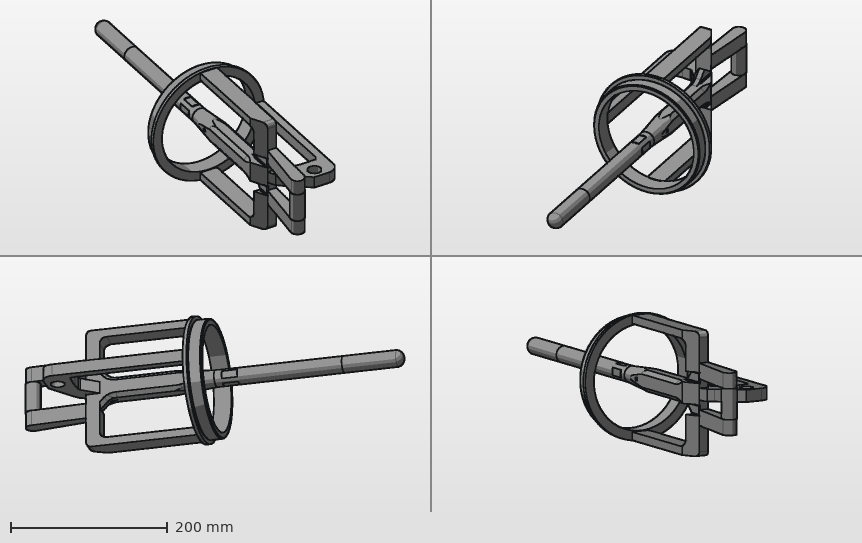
import cadquery as cq
import math

TIP_END = 80.0
FLATS_START = 218.5
FLATS_END = 239.0
ROD_END = 249.0
RING_START = 248.0
FLANGE_START = 266.0
RING_END = 271.0
CROSS_HOLE_X = 281.0
TENON_END = 288.0
CONE_END = 299.5
RUNOUT_START = 378.5
RUNOUT_END = 394.5
SLANT_START = 395.5
CROSSBAR_START = 400.0
FRAME_END = 418.0
GRIP_X = 491.0

ROD_DIAMETER = 22.0
ROD_RADIUS = ROD_DIAMETER / 2
TIP_DOME_HEIGHT = 9.0
ACROSS_FLATS = 19.5
TENON_DIAMETER = 12.0

RING_BORE = 139.0
RING_DIAMETER = 155.0
FLANGE_DIAMETER = 165.0
RING_CHAMFER = 1.5

FRAME_HALF_DEPTH = 12.5
SHAFT_HALF_HEIGHT = 14.0
SHAFT_CHAMFER = 5.5
CONE_END_RADIUS = 15.5
ARM_OUTER = 81.0
ARM_INNER = 70.0
FRAME_OUTER_FILLET = 7.0
FRAME_INNER_FILLET = 9.0
SLANT_END_Y = -0.5
GUSSET_HALF_HEIGHT = 28.0
GUSSET_START = CROSSBAR_START - (GUSSET_HALF_HEIGHT - SHAFT_HALF_HEIGHT)
GUSSET_FILLET = 15.0
NOTCH_CHAMFER = 1.5
CROSS_HOLE_DIAMETER = 4.9

HOOK_HALF_THICKNESS = 8.0
HOOK_OUTER = 81.5
HOOK_INNER = 70.0
HOOK_INNER_X = 424.0
HOOK_BACK_X = 459.0
HOOK_OUTER_FILLET = 15.0
HOOK_INNER_FILLET = 5.0
HOOK_HOLE_DIAMETER = 18.0
HOOK_HOLE_CENTER = (444.0, 53.5)
HOOK_BACK_BEND = (HOOK_BACK_X, 44.5)
HOOK_HEEL_TOP = (434.5, 11.5)
HOOK_HEEL_BOTTOM = (428.5, 5.0)
HOOK_TOE = (399.5, FRAME_HALF_DEPTH)
HOOK_KNEE_LOWER = (421.0, 29.5)
HOOK_KNEE_MIDDLE = (422.5, 32.5)
HOOK_KNEE_UPPER = (HOOK_INNER_X, 45.5)

LEVER_INNER = 20.0
LEVER_THICKNESS = 20.5
LEVER_END_RADIUS = 9.5
GRIP_DIAMETER = 20.0


def x_cylinder(start, end, diameter):
    return cq.Workplane("YZ", origin=(start, 0, 0)).circle(diameter / 2).extrude(end - start)


def x_prism(points, start, end):
    """Extrude a closed (Y, Z) outline from one X station to another."""
    return cq.Workplane("YZ", origin=(start, 0, 0)).polyline(points).close().extrude(end - start)


def make_tip_rod():
    """Rod end closed by a dome, as one revolved profile."""
    dome_radius = (ROD_RADIUS**2 + TIP_DOME_HEIGHT**2) / (2 * TIP_DOME_HEIGHT)
    middle_angle = math.asin(ROD_RADIUS / dome_radius) / 2
    dome_middle = (dome_radius * (1 - math.cos(middle_angle)), dome_radius * math.sin(middle_angle))
    return (
        cq.Workplane("XY")
        .moveTo(0, 0)
        .threePointArc(dome_middle, (TIP_DOME_HEIGHT, ROD_RADIUS))
        .lineTo(TIP_END, ROD_RADIUS)
        .lineTo(TIP_END, 0)
        .close()
        .revolve(360, (0, 0, 0), (1, 0, 0))
    )


def make_tenon():
    return x_cylinder(ROD_END, TENON_END, TENON_DIAMETER)


def make_main_rod():
    """Rod with four wrench flats and a tenon that enters the shaft."""
    around_flats = (
        cq.Workplane("YZ", origin=(FLATS_START, 0, 0))
        .rect(2 * ROD_DIAMETER, 2 * ROD_DIAMETER)
        .rect(ACROSS_FLATS, ACROSS_FLATS)
        .extrude(FLATS_END - FLATS_START)
    )
    return x_cylinder(TIP_END, ROD_END, ROD_DIAMETER).cut(around_flats).union(make_tenon())


def make_ring():
    body = x_cylinder(RING_START, FLANGE_START, RING_DIAMETER)
    body = body.faces("<X or >X").edges().chamfer(RING_CHAMFER)
    flange = x_cylinder(FLANGE_START, RING_END, FLANGE_DIAMETER)
    bore = x_cylinder(RING_START, RING_END, RING_BORE)
    return body.union(flange).cut(bore)


def make_corner_cutter(y_side, z_side):
    """45 degree corner cut along the shaft; it ends in an arc that rises to the corner."""
    depth = SHAFT_CHAMFER / math.sqrt(2)
    runout = RUNOUT_END - RUNOUT_START
    arc_radius = (depth**2 + runout**2) / (2 * depth)
    middle_angle = math.asin(runout / arc_radius) / 2
    arc_middle = (
        RUNOUT_START + arc_radius * math.sin(middle_angle),
        arc_radius * (1 - math.cos(middle_angle)) - depth,
    )
    corner = cq.Plane(
        origin=(0, y_side * FRAME_HALF_DEPTH, z_side * SHAFT_HALF_HEIGHT),
        xDir=(1, 0, 0),
        normal=(0, -z_side, y_side),
    )
    return (
        cq.Workplane(corner)
        .moveTo(ROD_END, -depth)
        .lineTo(RUNOUT_START, -depth)
        .threePointArc(arc_middle, (RUNOUT_END, 0))
        .lineTo(RUNOUT_END, depth)
        .lineTo(ROD_END, depth)
        .close()
        .extrude(2 * SHAFT_CHAMFER, both=True)
    )


def make_shaft():
    """Round cone that turns into a bar with chamfered corners."""
    clear_radius = 2 * CONE_END_RADIUS
    envelope = (
        cq.Workplane("XY")
        .polyline([
            (ROD_END, 0),
            (ROD_END, ROD_RADIUS),
            (CONE_END, CONE_END_RADIUS),
            (CONE_END, clear_radius),
            (FRAME_END, clear_radius),
            (FRAME_END, 0),
        ])
        .close()
        .revolve(360, (0, 0, 0), (1, 0, 0))
    )
    bar = (
        cq.Workplane("YZ", origin=(ROD_END, 0, 0))
        .rect(2 * FRAME_HALF_DEPTH, 2 * SHAFT_HALF_HEIGHT)
        .extrude(FRAME_END - ROD_END)
    )
    for y_side in (-1, 1):
        for z_side in (-1, 1):
            bar = bar.cut(make_corner_cutter(y_side, z_side))
    return bar.intersect(envelope)


def make_gusset(z_side):
    """45 degree wedge that widens the rear half of the shaft into the crossbar on one Z side."""
    width = FRAME_HALF_DEPTH - SLANT_END_Y
    wedge = (
        cq.Workplane("XZ", origin=(0, FRAME_HALF_DEPTH, 0))
        .polyline([
            (RUNOUT_START, 0),
            (RUNOUT_START, SHAFT_HALF_HEIGHT),
            (GUSSET_START, SHAFT_HALF_HEIGHT),
            (CROSSBAR_START, GUSSET_HALF_HEIGHT),
            (CROSSBAR_START, 0),
        ])
        .close()
        .extrude(width)
    )
    wedge_foot = cq.selectors.NearestToPointSelector((GUSSET_START, 0, SHAFT_HALF_HEIGHT))
    wedge = wedge.edges("|Y").edges(wedge_foot).fillet(GUSSET_FILLET)
    wedge = wedge.faces(">Y").edges("not(<X or >X or <Z)").chamfer(SHAFT_CHAMFER)
    return wedge if z_side > 0 else wedge.mirror("XY")


def make_arms_and_crossbar():
    """U-shaped frame: the +X half of a rounded box with a rounded window."""
    def rounded_box(end, half_height, fillet):
        return (
            cq.Workplane("XZ")
            .rect(2 * (end - RING_END), 2 * half_height)
            .extrude(FRAME_HALF_DEPTH, both=True)
            .edges("|Y")
            .fillet(fillet)
        )

    full = rounded_box(FRAME_END, ARM_OUTER, FRAME_OUTER_FILLET)
    window = rounded_box(CROSSBAR_START, ARM_INNER, FRAME_INNER_FILLET)
    half_space = cq.Workplane("XY").box(
        FRAME_END, 2 * FLANGE_DIAMETER, 2 * FLANGE_DIAMETER, centered=(False, True, True)
    )
    return full.cut(window).intersect(half_space).translate((RING_END, 0, 0))


def make_notch(z_side):
    """Front notch in the crossbar, between the shaft and the outer part of the crossbar."""
    inner = z_side * SHAFT_HALF_HEIGHT
    outer = z_side * GUSSET_HALF_HEIGHT
    outline = [
        (-FRAME_HALF_DEPTH, inner),
        (SLANT_END_Y, inner),
        (SLANT_END_Y, outer),
        (-FRAME_HALF_DEPTH, outer),
    ]
    return x_prism(outline, CROSSBAR_START, FRAME_END)


def make_notch_strip(wall_z, toward_z, start):
    """45 degree strip that fills the corner between a notch wall and the notch floor."""
    outline = [
        (SLANT_END_Y, wall_z),
        (SLANT_END_Y - NOTCH_CHAMFER, wall_z),
        (SLANT_END_Y, wall_z + toward_z * NOTCH_CHAMFER),
    ]
    return x_prism(outline, start, FRAME_END)


def make_floor_edge_cutter(z_side):
    """45 degree cut along the back edge of a notch floor."""
    return (
        cq.Workplane("XY", origin=(0, 0, z_side * SHAFT_HALF_HEIGHT))
        .polyline([
            (FRAME_END - NOTCH_CHAMFER, SLANT_END_Y),
            (FRAME_END, SLANT_END_Y),
            (FRAME_END, SLANT_END_Y + NOTCH_CHAMFER),
        ])
        .close()
        .extrude(z_side * (GUSSET_HALF_HEIGHT - SHAFT_HALF_HEIGHT))
    )


def make_slant_cutter():
    """Removes the front of the crossbar down to its slanted face."""
    return (
        cq.Workplane("XY")
        .polyline([
            (SLANT_START, -FRAME_HALF_DEPTH),
            (FRAME_END, SLANT_END_Y),
            (FRAME_END, -FRAME_HALF_DEPTH),
        ])
        .close()
        .extrude(ARM_OUTER, both=True)
    )


def make_cross_hole():
    """Radial hole from the front face of the shaft to the tenon."""
    return (
        cq.Workplane("XZ", origin=(CROSS_HOLE_X, -FRAME_HALF_DEPTH, 0))
        .circle(CROSS_HOLE_DIAMETER / 2)
        .extrude(-FRAME_HALF_DEPTH)
    )


def make_frame():
    frame = make_arms_and_crossbar()
    for z_side in (-1, 1):
        frame = frame.cut(make_notch(z_side))
    frame = frame.union(make_shaft())
    for z_side in (-1, 1):
        shaft_wall = z_side * SHAFT_HALF_HEIGHT
        outer_wall = z_side * GUSSET_HALF_HEIGHT
        frame = (
            frame.union(make_gusset(z_side))
            .cut(make_floor_edge_cutter(z_side))
            .union(make_notch_strip(shaft_wall, z_side, GUSSET_START + NOTCH_CHAMFER))
            .union(make_notch_strip(outer_wall, -z_side, CROSSBAR_START))
        )
    return frame.cut(make_slant_cutter()).cut(make_cross_hole()).cut(make_tenon())


def make_hook():
    """Flat arm from the ring flange, bent down onto the back of the frame."""
    outer_corner = (HOOK_BACK_X, HOOK_OUTER)
    inner_corner = (HOOK_INNER_X, HOOK_INNER)
    plate = (
        cq.Workplane("XY")
        .polyline([
            (RING_END, HOOK_OUTER),
            outer_corner,
            HOOK_BACK_BEND,
            HOOK_HEEL_TOP,
            HOOK_HEEL_BOTTOM,
            (FRAME_END, SLANT_END_Y),
            (FRAME_END, FRAME_HALF_DEPTH),
            HOOK_TOE,
            HOOK_KNEE_LOWER,
            HOOK_KNEE_MIDDLE,
            HOOK_KNEE_UPPER,
            inner_corner,
            (RING_END, HOOK_INNER),
        ])
        .close()
        .extrude(HOOK_HALF_THICKNESS, both=True)
    )
    plate = plate.edges(cq.selectors.NearestToPointSelector((*outer_corner, 0))).fillet(HOOK_OUTER_FILLET)
    plate = plate.edges(cq.selectors.NearestToPointSelector((*inner_corner, 0))).fillet(HOOK_INNER_FILLET)
    hole = (
        cq.Workplane("XY")
        .center(*HOOK_HOLE_CENTER)
        .circle(HOOK_HOLE_DIAMETER / 2)
        .extrude(HOOK_HALF_THICKNESS, both=True)
    )
    return plate.cut(hole)


def make_lever_arm(z_side):
    """Arm from the back of the crossbar to a rounded end around the grip axis."""
    return (
        cq.Workplane("XY", origin=(0, 0, z_side * LEVER_INNER))
        .moveTo(FRAME_END, FRAME_HALF_DEPTH)
        .lineTo(GRIP_X, LEVER_END_RADIUS)
        .threePointArc((GRIP_X + LEVER_END_RADIUS, 0), (GRIP_X, -LEVER_END_RADIUS))
        .lineTo(FRAME_END, SLANT_END_Y)
        .close()
        .extrude(z_side * LEVER_THICKNESS)
    )


def make_grip():
    """Round bar between the two lever arms."""
    return (
        cq.Workplane("XY", origin=(GRIP_X, 0, -LEVER_INNER))
        .circle(GRIP_DIAMETER / 2)
        .extrude(2 * LEVER_INNER)
    )


tip_rod = make_tip_rod()
main_rod = make_main_rod()
ring = make_ring()
frame = make_frame()
hook = make_hook()
lever_arms = [make_lever_arm(z_side) for z_side in (-1, 1)]
grip = make_grip()

result = cq.Compound.makeCompound([
    tip_rod.val(),
    main_rod.val(),
    ring.val(),
    frame.val(),
    hook.val(),
    *[arm.val() for arm in lever_arms],
    grip.val(),
])